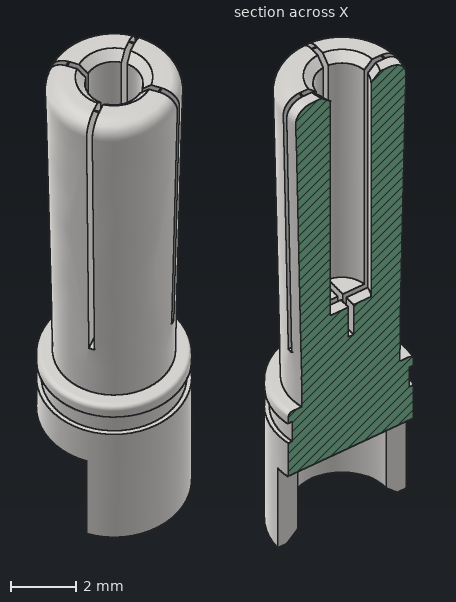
import cadquery as cq

total_height = 18.5
collar_diameter = 4.75

collar_top = 6.0
collar_edge_radius = 0.18
groove_diameter = 4.45
groove_bottom = 4.74
groove_top = 5.53

pin_root_diameter = 3.77
pin_tip_diameter = 4.22
tip_flat_diameter = 2.98
tip_round_height = 0.61

bore_diameter = 1.78
bore_depth = 9.25
countersink = 0.3
slot_width = 0.18
slot_bottom = 8.01

cup_diameter = 3.25
cup_height = 3.33
cup_chamfer = 0.4


def cylinder(diameter, bottom, top):
    """Solid cylinder on the Z axis between two heights."""
    return cq.Workplane("XY").workplane(offset=bottom).circle(diameter / 2).extrude(top - bottom)


def revolve_outline(points):
    """Solid of revolution about Z from (radius, height) points."""
    return cq.Workplane("XZ").polyline(points).close().revolve(360, (0, 0, 0), (0, 1, 0))


def make_collar():
    """Full-diameter base with a rounded top edge and a groove around it."""
    collar = cylinder(collar_diameter, 0, collar_top)
    collar = collar.faces(">Z").edges().fillet(collar_edge_radius)
    groove = cylinder(collar_diameter, groove_bottom, groove_top)
    groove = groove.cut(cylinder(groove_diameter, groove_bottom, groove_top))
    return collar.cut(groove)


def make_pin():
    """Revolved pin: flared shank and rounded tip."""
    shank_top = total_height - tip_round_height
    root_radius = pin_root_diameter / 2
    return (
        cq.Workplane("XZ")
        .moveTo(0, groove_bottom)
        .lineTo(root_radius, groove_bottom)
        .lineTo(root_radius, collar_top)
        .lineTo(pin_tip_diameter / 2, shank_top)
        .tangentArcPoint((tip_flat_diameter / 2, total_height), relative=False)
        .lineTo(0, total_height)
        .close()
        .revolve(360, (0, 0, 0), (0, 1, 0))
    )


def make_tip_bore():
    """Blind bore with a 45 degree countersink at the tip."""
    bore_radius = bore_diameter / 2
    bore_bottom = total_height - bore_depth
    return revolve_outline([
        (0, bore_bottom),
        (bore_radius, bore_bottom),
        (bore_radius, total_height - countersink),
        (bore_radius + countersink, total_height),
        (0, total_height),
    ])


def make_slots():
    """Two crossing slots that split the pin into four fingers."""
    slot_height = total_height - slot_bottom
    slot = (
        cq.Workplane("XY", origin=(0, 0, slot_bottom))
        .rect(collar_diameter, slot_width)
        .extrude(slot_height)
    )
    return slot.union(slot.rotate((0, 0, 0), (0, 0, 1), 90))


def make_cup():
    """Round cup with a chamfered mouth, open on the -X half."""
    mouth_radius = cup_diameter / 2 + cup_chamfer
    cavity = revolve_outline([
        (0, 0),
        (mouth_radius, 0),
        (cup_diameter / 2, cup_chamfer),
        (cup_diameter / 2, cup_height),
        (0, cup_height),
    ])
    open_half = (
        cq.Workplane("XY")
        .box(collar_diameter, collar_diameter, cup_height, centered=(True, True, False))
        .translate((-collar_diameter / 2, 0, 0))
    )
    return cavity.union(open_half)


result = make_collar().union(make_pin()).cut(make_tip_bore()).cut(make_slots()).cut(make_cup())